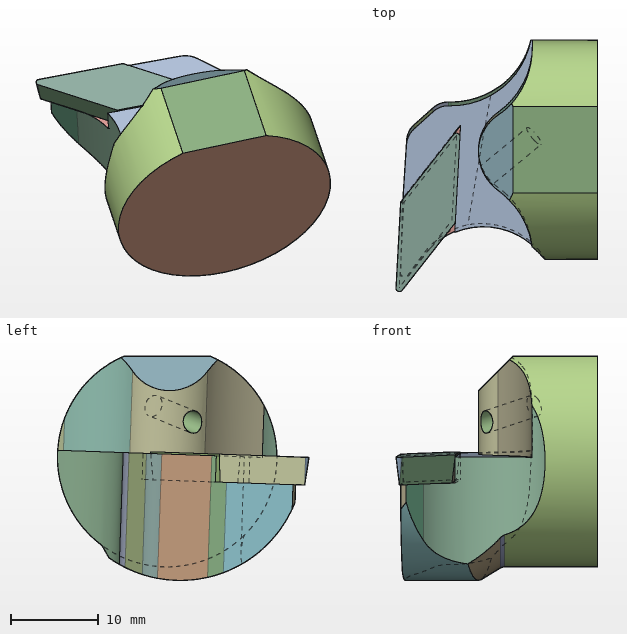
import cadquery as cq
import math

shank_radius = 12.5
shank_length = 17.2
flat_height = 11.5
top_chamfer_x = -9.63

head_radius = 14.05
head_center_y = -1.5
head_front_x = -24.35
head_back_x = -8.6
flare_root_x = -10.83
flare_slope = 0.6
flare_root_fillet = 0.97

tilt = 2.0
floor_z = 0.35
through = 34.38

sweep_radius = 9.23
sweep_center_x = -16.65
sweep_end_x = sweep_center_x + sweep_radius
nose_radius = 5.2
nose_center_x = -8.35
back_y = 5.0
sweep_center_y = back_y + sweep_radius
scoop_radius = 8.5
scoop_x = -13.0
scoop_y = -17.28
scoop_tangent_x = -19.83
scoop_bottom_y = -24.35
back_corner_x = -17.95
front_corner = (-21.65, 1.65)
front_bend = [(-22.1, -5.07), (-22.2, -6.85)]
tip_chamfer = [(-22.4, -14.4), (-21.77, -14.73)]
corner_radius = 2.58

hole_diameter = 2.5
hole_mouth = (-12.58, -2.86, 4.05)
hole_direction = (0.75, 0.62, 0.25)
hole_depth = 7.15
hole_lead = 2.3

insert_side = 11.05
insert_angle = 35.0
insert_lead = 3.1
insert_tip = (-23.0, -17.0)
insert_tip_radius = 0.4
insert_thickness = 3.18
insert_clearance = 7.0
insert_proud = 0.2
insert_top_z = floor_z + insert_proud
pocket_stretch = 1.3


def tilted(shape):
    return shape.rotate((0, 0, 0), (1, 0, 0), tilt)


def step(point, angle_from_y, distance):
    """Point at a distance from another, at an angle measured from +Y towards +X."""
    angle = math.radians(angle_from_y)
    return (point[0] + distance * math.sin(angle), point[1] + distance * math.cos(angle))


def make_shank():
    bar = cq.Workplane("YZ").circle(shank_radius).extrude(-shank_length)
    above_flat = cq.Workplane("XY").workplane(offset=flat_height).rect(through * 2, through * 2).extrude(through)
    bevel = (
        cq.Workplane("XZ")
        .moveTo(top_chamfer_x, flat_height)
        .lineTo(top_chamfer_x - through, flat_height - through)
        .lineTo(top_chamfer_x - through, flat_height)
        .close()
        .extrude(through, both=True)
    )
    below_floor = tilted(
        cq.Workplane("XY").workplane(offset=floor_z).rect(through * 2, through * 2).extrude(-through)
    )
    return bar.cut(above_flat).cut(bevel.cut(below_floor))


def make_lobe():
    """Eccentric cylinder below the rake floor, bounded behind by a cone about the shank axis."""
    cylinder = (
        cq.Workplane("YZ")
        .workplane(offset=head_front_x)
        .center(head_center_y, 0)
        .circle(head_radius)
        .extrude(head_back_x - head_front_x)
    )
    flare_front_radius = shank_radius + flare_slope * (flare_root_x - head_front_x)
    flare = (
        cq.Workplane("XY")
        .moveTo(head_front_x, 0)
        .lineTo(head_front_x, flare_front_radius)
        .lineTo(flare_root_x, shank_radius)
        .lineTo(head_back_x, shank_radius)
        .lineTo(head_back_x, 0)
        .close()
        .revolve(360, (0, 0, 0), (1, 0, 0))
        .edges(cq.NearestToPointSelector((flare_root_x, 0, 0)))
        .fillet(flare_root_fillet)
    )
    above_floor = tilted(
        cq.Workplane("XY").workplane(offset=floor_z).rect(through * 2, through * 2).extrude(through)
    )
    return cylinder.intersect(flare).cut(above_floor)


def make_side_profile():
    """Plan outline kept by the whole head, as a tilted prism."""
    scoop_start_y = scoop_y + math.sqrt(scoop_radius**2 - (scoop_tangent_x - scoop_x) ** 2)
    sweep_mid = (
        sweep_center_x + sweep_radius * math.sin(math.radians(45)),
        sweep_center_y - sweep_radius * math.cos(math.radians(45)),
    )
    prism = (
        cq.Workplane("XY")
        .workplane(offset=-through / 2)
        .moveTo(0, sweep_center_y)
        .lineTo(sweep_end_x, sweep_center_y)
        .threePointArc(sweep_mid, (sweep_center_x, back_y))
        .lineTo(back_corner_x, back_y)
        .lineTo(*front_corner)
        .polyline(front_bend + tip_chamfer, includeCurrent=True)
        .lineTo(scoop_tangent_x, scoop_start_y)
        .threePointArc((scoop_x, scoop_y + scoop_radius), (scoop_x + scoop_radius, scoop_y))
        .lineTo(scoop_x + scoop_radius, scoop_bottom_y)
        .lineTo(0, scoop_bottom_y)
        .close()
        .extrude(through)
    )
    for corner in (front_corner, (back_corner_x, back_y)):
        prism = prism.edges(cq.NearestToPointSelector((*corner, 0))).fillet(corner_radius)
    return tilted(prism)


def make_rake_recess():
    """Space above the rake floor, leaving a rounded nose on the shank."""
    reach = nose_radius + sweep_radius
    offset_x = nose_center_x - sweep_center_x
    offset_y = math.sqrt(reach**2 - offset_x**2)
    joint_x = nose_center_x - nose_radius * offset_x / reach
    joint_y = nose_radius * offset_y / reach
    mid_angle = math.atan2(offset_y, offset_x) / 2
    mid_x = sweep_center_x + sweep_radius * math.cos(mid_angle)
    mid_y = offset_y - sweep_radius * math.sin(mid_angle)
    recess = (
        cq.Workplane("XY")
        .workplane(offset=floor_z)
        .moveTo(sweep_end_x, -through)
        .lineTo(sweep_end_x, -offset_y)
        .threePointArc((mid_x, -mid_y), (joint_x, -joint_y))
        .threePointArc((nose_center_x - nose_radius, 0), (joint_x, joint_y))
        .threePointArc((mid_x, mid_y), (sweep_end_x, offset_y))
        .lineTo(sweep_end_x, through)
        .lineTo(-through, through)
        .lineTo(-through, -through)
        .close()
        .extrude(through)
    )
    return tilted(recess)


def rhombus(front_length):
    """Insert outline: tip end, front corner, inner corner and open corner."""
    front = step(insert_tip, insert_lead, insert_side)
    inner = step(front, insert_lead + insert_angle, insert_side)
    tip_end = step(front, insert_lead + 180, front_length)
    open_end = step(inner, insert_lead + 180, front_length)
    return [tip_end, front, inner, open_end]


def make_pocket():
    pocket = (
        cq.Workplane("XY")
        .workplane(offset=insert_top_z - insert_thickness)
        .polyline(rhombus(insert_side * pocket_stretch))
        .close()
        .extrude(through)
    )
    return tilted(pocket)


def make_coolant_hole():
    hole_plane = cq.Plane(origin=hole_mouth, xDir=(0, 0, 1), normal=hole_direction)
    return (
        cq.Workplane(hole_plane)
        .workplane(offset=-hole_lead)
        .circle(hole_diameter / 2)
        .extrude(hole_lead + hole_depth)
    )


def make_holder():
    stock = make_shank().union(make_lobe())
    shaped = stock.intersect(make_side_profile()).cut(make_rake_recess())
    return shaped.cut(make_pocket()).cut(make_coolant_hole())


def make_insert():
    outline = rhombus(insert_side)
    sketch = cq.Sketch().polygon(outline + outline[:1])
    for corner in (outline[0], outline[2]):
        sketch = sketch.vertices(cq.NearestToPointSelector((*corner, 0))).fillet(insert_tip_radius).reset()
    insert = (
        cq.Workplane("XY")
        .workplane(offset=insert_top_z)
        .placeSketch(sketch)
        .extrude(-insert_thickness, taper=insert_clearance)
    )
    return tilted(insert)


holder = make_holder()
insert = make_insert()
result = cq.Compound.makeCompound([holder.val(), insert.val()])